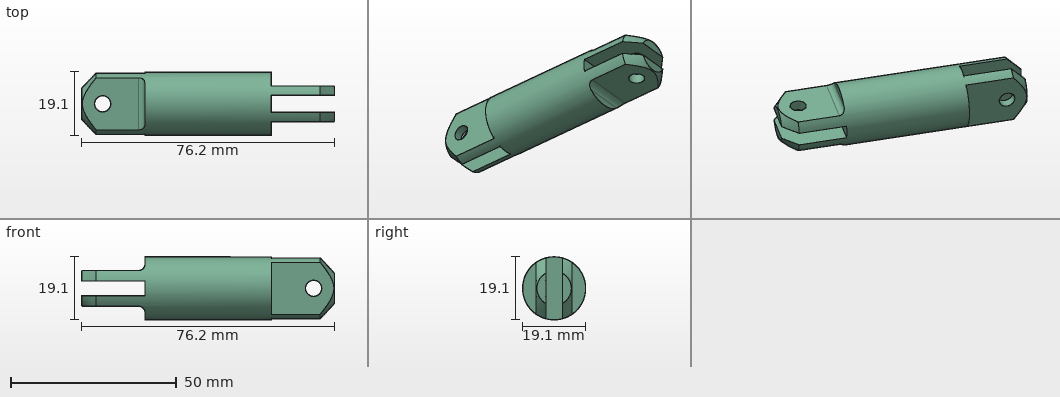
import cadquery as cq

length = 76.2
diameter = 19.05
radius = diameter / 2
tip_chamfer = 4.35

fork_length = 19.05
fork_thickness = 10.8
left_slot_width = 4.35
right_slot_width = 5.0
left_root_fillet = 1.9
pin_diameter = 4.8
pin_inset = 6.3


def make_bar():
    """Round bar with a conical chamfer at both tips."""
    bar = cq.Workplane("YZ").circle(radius).extrude(length)
    return bar.faces("<X or >X").chamfer(tip_chamfer)


def make_fork_cutter(slot_width, root_fillet=0):
    """Material removed at the left end: two outer flats and a central slot.

    The flats face +Z and -Z; a root fillet blends them into the shoulder.
    """
    flat_z = fork_thickness / 2
    outline = cq.Workplane("XZ").moveTo(0, flat_z)
    if root_fillet:
        outline = outline.lineTo(fork_length - root_fillet, flat_z)
        outline = outline.radiusArc((fork_length, flat_z + root_fillet), -root_fillet)
    else:
        outline = outline.lineTo(fork_length, flat_z)
    outline = outline.lineTo(fork_length, diameter).lineTo(0, diameter).close()
    upper_flat = outline.extrude(radius, both=True)
    lower_flat = upper_flat.mirror("XY")

    slot = cq.Workplane("XY").box(fork_length, diameter, slot_width, centered=(False, True, True))
    pin_hole = (
        cq.Workplane("XY").center(pin_inset, 0).circle(pin_diameter / 2).extrude(radius, both=True)
    )
    return upper_flat.union(lower_flat).union(slot).union(pin_hole)


left_cutter = make_fork_cutter(left_slot_width, left_root_fillet)

right_cutter = (
    make_fork_cutter(right_slot_width)
    .mirror("YZ")
    .translate((length, 0, 0))
    .rotate((0, 0, 0), (1, 0, 0), 90)
)

result = make_bar().cut(left_cutter).cut(right_cutter)